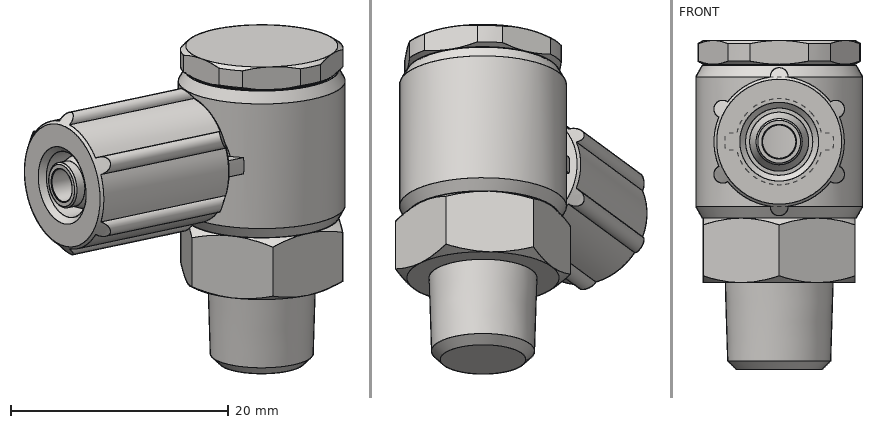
import cadquery as cq
import math


STEM_TIP_RADIUS = 3.95
STEM_CHAMFER_RADIUS = 4.75
STEM_TOP_RADIUS = 4.97
STEM_CHAMFER_HEIGHT = 0.8
STEM_HEIGHT = 8.0

ACROSS_FLATS = 14.0
ACROSS_CORNERS = 2 * ACROSS_FLATS / math.sqrt(3)
HEX_CHAMFER_ANGLE = math.radians(30)
WRENCH_HEX_HEIGHT = 5.95
CAP_HEIGHT = 2.2
CAP_RADIUS = 7.5

BODY_RADIUS = 7.7
BODY_END_RADIUS = 7.1
BODY_HEIGHT = 14.08
BODY_CHAMFER_HEIGHT = 1.05
CAP_GAP = 0.1
CAP_NECK_RADIUS = 6.88

STUB_RADIUS = 3.97
WING_RADIUS = 5.0
WING_THICKNESS = 1.55

NUT_BACK = 8.15
NUT_LENGTH = 14.95
NUT_RADIUS = 6.0
NUT_FACE_RADIUS = 5.75
GRIP_COUNT = 6
GRIP_RADIUS = 0.8
NUT_MOUTH_RADIUS = 3.63
NUT_BORE_RADIUS = 3.1
NUT_BORE_DEPTH = 3.75

INSERT_PROTRUSION = 0.05
INSERT_BARB_RADIUS = 2.72
INSERT_NOSE_RADIUS = 2.13
INSERT_TIP_RADIUS = 1.97
INSERT_NOSE_LENGTH = 1.05
INSERT_BARB_LENGTH = 1.55

INSERT_MOUTH_RADIUS = 1.6
INSERT_BORE_RADIUS = 1.53
BODY_INNER_RADIUS = 6.25

body_bottom = STEM_HEIGHT + WRENCH_HEX_HEIGHT
body_top = body_bottom + BODY_HEIGHT
branch_level = body_bottom + BODY_HEIGHT / 2
cap_bottom = body_top + CAP_GAP
nut_front = NUT_BACK + NUT_LENGTH
insert_tip = nut_front + INSERT_PROTRUSION
nut_floor = nut_front - NUT_BORE_DEPTH


def turned(profile):
    """Solid of revolution about Z from (radius, height) points; the axis closes the profile."""
    bottom = profile[0][1]
    top = profile[-1][1]
    points = [(0, bottom)] + profile + [(0, top)]
    return cq.Workplane("XZ").polyline(points).close().revolve(360, (0, 0, 0), (0, 1, 0))


def to_branch(shape):
    """Move a shape built along +Z onto the branch axis, with its +Z pointing along -Y."""
    return shape.rotate((0, 0, 0), (1, 0, 0), 90).translate((0, 0, branch_level))


def chamfered_hex(bottom, height, outer_radius, first_corner_angle):
    """Hexagon whose corners are trimmed by a turned envelope with 30 degree end cones."""
    flat_radius = ACROSS_FLATS / 2
    corner_drop = (outer_radius - flat_radius) * math.tan(HEX_CHAMFER_ANGLE)
    top = bottom + height
    prism = (
        cq.Workplane("XY")
        .polygon(6, ACROSS_CORNERS)
        .extrude(height)
        .rotate((0, 0, 0), (0, 0, 1), first_corner_angle)
        .translate((0, 0, bottom))
    )
    envelope = turned([
        (flat_radius, bottom),
        (outer_radius, bottom + corner_drop),
        (outer_radius, top - corner_drop),
        (flat_radius, top),
    ])
    return prism.intersect(envelope)


def stem():
    return turned([
        (STEM_TIP_RADIUS, 0),
        (STEM_CHAMFER_RADIUS, STEM_CHAMFER_HEIGHT),
        (STEM_TOP_RADIUS, STEM_HEIGHT),
    ])


def body():
    return turned([
        (BODY_END_RADIUS, body_bottom),
        (BODY_RADIUS, body_bottom + BODY_CHAMFER_HEIGHT),
        (BODY_RADIUS, body_top - BODY_CHAMFER_HEIGHT),
        (BODY_END_RADIUS, body_top),
        (CAP_NECK_RADIUS, body_top),
        (CAP_NECK_RADIUS, cap_bottom),
    ])


def branch():
    """Round stub with two flat side wings, reaching from the body axis to the nut."""
    stub = cq.Workplane("XY").circle(STUB_RADIUS).extrude(NUT_BACK)
    wings = (
        cq.Workplane("XY")
        .circle(WING_RADIUS)
        .extrude(NUT_BACK)
        .intersect(cq.Workplane("XY").box(2 * WING_RADIUS, WING_THICKNESS, 2 * NUT_BACK))
    )
    return to_branch(stub.union(wings))


def nut():
    """Ribbed barrel with both ends coned at 45 degrees and a countersunk front bore."""
    barrel = cq.Workplane("XY").workplane(offset=NUT_BACK).circle(NUT_RADIUS).extrude(NUT_LENGTH)
    ribs = (
        cq.Workplane("XY")
        .workplane(offset=NUT_BACK)
        .polarArray(NUT_RADIUS, 90, 360, GRIP_COUNT)
        .circle(GRIP_RADIUS)
        .extrude(NUT_LENGTH)
    )
    rib_tip_radius = NUT_RADIUS + GRIP_RADIUS
    end_cone = rib_tip_radius - NUT_FACE_RADIUS
    envelope = turned([
        (NUT_FACE_RADIUS, NUT_BACK),
        (rib_tip_radius, NUT_BACK + end_cone),
        (rib_tip_radius, nut_front - end_cone),
        (NUT_FACE_RADIUS, nut_front),
    ])
    mouth_depth = NUT_MOUTH_RADIUS - NUT_BORE_RADIUS
    front_bore = turned([
        (NUT_BORE_RADIUS, nut_floor),
        (NUT_BORE_RADIUS, nut_front - mouth_depth),
        (NUT_MOUTH_RADIUS, nut_front),
    ])
    return to_branch(barrel.union(ribs).intersect(envelope).cut(front_bore))


def hose_insert():
    nose_start = insert_tip - INSERT_NOSE_LENGTH
    tip_chamfer = INSERT_NOSE_RADIUS - INSERT_TIP_RADIUS
    return to_branch(turned([
        (INSERT_BARB_RADIUS, NUT_BACK),
        (INSERT_BARB_RADIUS, nose_start - INSERT_BARB_LENGTH),
        (INSERT_NOSE_RADIUS, nose_start),
        (INSERT_NOSE_RADIUS, insert_tip - tip_chamfer),
        (INSERT_TIP_RADIUS, insert_tip),
    ]))


def insert_bore():
    """Bore with a chamfered mouth that crosses the body and ends on its round inner wall."""
    mouth_depth = INSERT_MOUTH_RADIUS - INSERT_BORE_RADIUS
    bore = to_branch(turned([
        (INSERT_BORE_RADIUS, -BODY_RADIUS),
        (INSERT_BORE_RADIUS, insert_tip - mouth_depth),
        (INSERT_MOUTH_RADIUS, insert_tip),
    ]))
    inner_wall = (
        cq.Workplane("XY")
        .workplane(offset=body_bottom)
        .circle(BODY_INNER_RADIUS)
        .extrude(BODY_HEIGHT)
    )
    branch_side = to_branch(cq.Workplane("XY").circle(BODY_RADIUS).extrude(insert_tip))
    return bore.intersect(inner_wall.union(branch_side))


wrench_hex = chamfered_hex(
    STEM_HEIGHT, WRENCH_HEX_HEIGHT, ACROSS_CORNERS / 2, first_corner_angle=90
)
cap = chamfered_hex(cap_bottom, CAP_HEIGHT, CAP_RADIUS, first_corner_angle=0)

result = (
    stem()
    .union(wrench_hex)
    .union(body())
    .union(cap)
    .union(branch())
    .union(nut())
    .union(hose_insert())
    .cut(insert_bore())
)